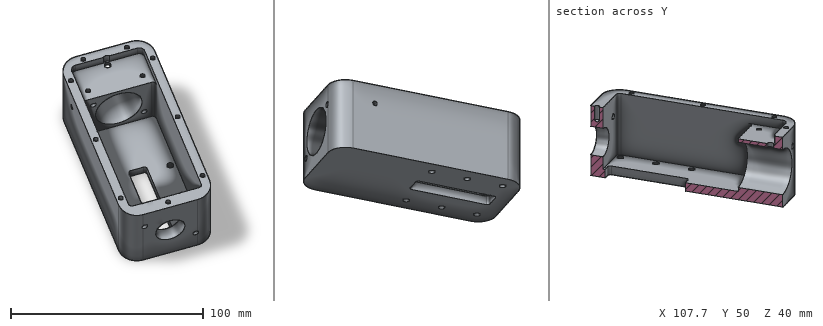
import cadquery as cq
import math

LENGTH = 107.7
WIDTH = 50.0
HEIGHT = 40.0
CORNER_RADIUS = 10.0

LEFT_WALL = 5.2
RIGHT_WALL = 7.0
SIDE_WALL = 5.0
FLOOR = 5.0
RECESS_DEPTH = 5.0
RECESS_CORNER_RADIUS = 3.0
POCKET_START = 25.0
POCKET_CORNER_RADIUS = 2.0
CAVITY_END = LENGTH - RIGHT_WALL
CAVITY_WIDTH = WIDTH - 2 * SIDE_WALL
SHELF_Z = HEIGHT - RECESS_DEPTH

AXIS_Z = HEIGHT / 2
BLOCK_BORE_DIAMETER = 25.5
END_BORE_DIAMETER = 16.0
ROD_DIAMETER = 3.0
ROD_OFFSET_Y = 14.0
ROD_OFFSET_Z = 9.0

TAP_DIAMETER = 2.5
DRILL_POINT_ANGLE = 118.0
RIM_TAP_DEPTH = 8.0
RIM_ROW_PITCH = 40.0
RIM_ROW_X = LENGTH / 2 - RIM_ROW_PITCH
RIM_ROW_Y = WIDTH / 2 - SIDE_WALL / 2
RIM_LEFT_X = 2.95
RIM_LEFT_Y = 12.0
RIM_RIGHT_X = LENGTH - RIGHT_WALL / 2
SHELF_TAP_X = 19.45
SHELF_TAP_Y = 15.0
SHELF_TAP_DEPTH = 6.0

CROSS_HOLE_X = 22.45

CLEARANCE_DIAMETER = 3.4
LOCK_SCREW_X = 7.0
LOCK_HEAD_DIAMETER = 5.0

FLOOR_HOLE_X = 57.95
FLOOR_HOLE_PITCH = 20.0
FLOOR_HOLE_Y = 17.0
SLOT_START = 54.6
SLOT_LENGTH = 45.0
SLOT_WIDTH = 10.0
SLOT_CORNER_RADIUS = 1.5

ROW_COUNT = 3


def rounded_block(x_start, x_end, width, z_bottom, z_top, radius):
    """Upright block centred on Y with rounded vertical edges."""
    return (
        cq.Workplane("XY", origin=((x_start + x_end) / 2, 0, z_bottom))
        .rect(x_end - x_start, width)
        .extrude(z_top - z_bottom)
        .edges("|Z")
        .fillet(radius)
    )


def upright_cylinder(x, y, z_bottom, z_top, diameter):
    """Cylinder standing along Z."""
    return cq.Workplane("XY", origin=(x, y, z_bottom)).circle(diameter / 2).extrude(z_top - z_bottom)


def lengthwise_cylinder(x_start, x_end, y, z, diameter):
    """Cylinder lying along X."""
    return cq.Workplane("YZ", origin=(x_start, y, z)).circle(diameter / 2).extrude(x_end - x_start)


def blind_tap(x, y, z_top, depth):
    """Blind hole down from z_top, full diameter to the given depth, then a drill point."""
    radius = TAP_DIAMETER / 2
    point_depth = radius / math.tan(math.radians(DRILL_POINT_ANGLE / 2))
    profile = [(0, 0), (radius, 0), (radius, -depth), (0, -depth - point_depth)]
    return (
        cq.Workplane("XZ", origin=(x, y, z_top))
        .polyline(profile)
        .close()
        .revolve(360, (0, 0, 0), (0, 1, 0))
    )


def cut_cavity(body):
    recess = rounded_block(LEFT_WALL, CAVITY_END, CAVITY_WIDTH, SHELF_Z, HEIGHT, RECESS_CORNER_RADIUS)
    pocket = rounded_block(POCKET_START, CAVITY_END, CAVITY_WIDTH, FLOOR, HEIGHT, POCKET_CORNER_RADIUS)
    return body.cut(recess).cut(pocket)


def cut_lengthwise_bores(body):
    body = body.cut(lengthwise_cylinder(0, POCKET_START, 0, AXIS_Z, BLOCK_BORE_DIAMETER))
    body = body.cut(lengthwise_cylinder(CAVITY_END, LENGTH, 0, AXIS_Z, END_BORE_DIAMETER))
    for side in (-1, 1):
        rod_z = AXIS_Z - side * ROD_OFFSET_Z
        body = body.cut(lengthwise_cylinder(0, LENGTH, side * ROD_OFFSET_Y, rod_z, ROD_DIAMETER))
    return body


def cut_blind_taps(body):
    rim_points = [(RIM_RIGHT_X, 0)]
    for side in (-1, 1):
        rim_points.append((RIM_LEFT_X, side * RIM_LEFT_Y))
        for index in range(ROW_COUNT):
            rim_points.append((RIM_ROW_X + index * RIM_ROW_PITCH, side * RIM_ROW_Y))
    for x, y in rim_points:
        body = body.cut(blind_tap(x, y, HEIGHT, RIM_TAP_DEPTH))
    for side in (-1, 1):
        body = body.cut(blind_tap(SHELF_TAP_X, side * SHELF_TAP_Y, SHELF_Z, SHELF_TAP_DEPTH))
    return body


def cut_cross_hole(body):
    cross_hole = (
        cq.Workplane("XZ", origin=(CROSS_HOLE_X, -ROD_OFFSET_Y, AXIS_Z + ROD_OFFSET_Z))
        .circle(TAP_DIAMETER / 2)
        .extrude(WIDTH / 2 - ROD_OFFSET_Y)
    )
    return body.cut(cross_hole)


def cut_lock_screw(body):
    shank = upright_cylinder(LOCK_SCREW_X, 0, AXIS_Z, SHELF_Z, CLEARANCE_DIAMETER)
    head = upright_cylinder(LOCK_SCREW_X, 0, SHELF_Z, HEIGHT, LOCK_HEAD_DIAMETER)
    return body.cut(shank).cut(head)


def cut_floor_openings(body):
    for side in (-1, 1):
        for index in range(ROW_COUNT):
            x = FLOOR_HOLE_X + index * FLOOR_HOLE_PITCH
            body = body.cut(upright_cylinder(x, side * FLOOR_HOLE_Y, 0, FLOOR, CLEARANCE_DIAMETER))
    slot = rounded_block(SLOT_START, SLOT_START + SLOT_LENGTH, SLOT_WIDTH, 0, FLOOR, SLOT_CORNER_RADIUS)
    return body.cut(slot)


body = rounded_block(0, LENGTH, WIDTH, 0, HEIGHT, CORNER_RADIUS)
body = cut_cavity(body)
body = cut_lengthwise_bores(body)
body = cut_blind_taps(body)
body = cut_cross_hole(body)
body = cut_lock_screw(body)
result = cut_floor_openings(body)